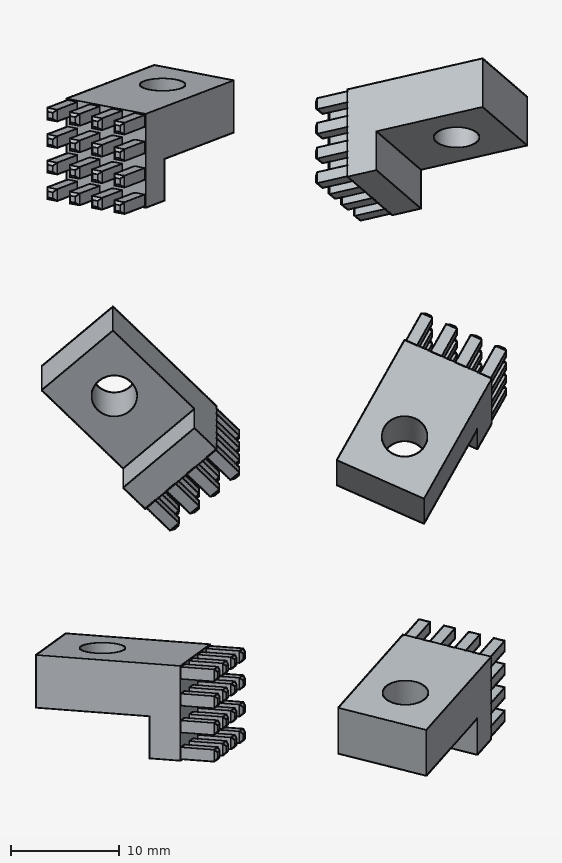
import cadquery as cq

block_width = 9.0
block_height = 9.0
block_length = 14.0
arm_thickness = 5.0
plate_thickness = 3.0

hole_diameter = 4.2
hole_to_back = 5.0

total_length = 17.5
pin_length = total_length - block_length
pins_per_side = 4
pin_pitch = 2.54
pin_side = 1.14
tip_chamfer = 0.28


def make_block():
    """L-shaped block, front face at Y = 0 and top face at Z = block_height."""
    arm_underside = block_height - arm_thickness
    profile = [
        (0, 0),
        (plate_thickness, 0),
        (plate_thickness, arm_underside),
        (block_length, arm_underside),
        (block_length, block_height),
        (0, block_height),
    ]
    return cq.Workplane("YZ").polyline(profile).close().extrude(block_width / 2, both=True)


def make_hole():
    """Cylinder that cuts the arm from top to bottom."""
    return (
        cq.Workplane("XY")
        .center(0, block_length - hole_to_back)
        .circle(hole_diameter / 2)
        .extrude(block_height)
    )


def make_pins():
    """Square pins pointing to -Y, each with its tip chamfered on all four sides."""
    return (
        cq.Workplane("XZ")
        .center(0, block_height / 2)
        .rarray(pin_pitch, pin_pitch, pins_per_side, pins_per_side)
        .rect(pin_side, pin_side)
        .extrude(pin_length)
        .faces("<Y")
        .chamfer(tip_chamfer)
    )


result = make_block().cut(make_hole()).union(make_pins())